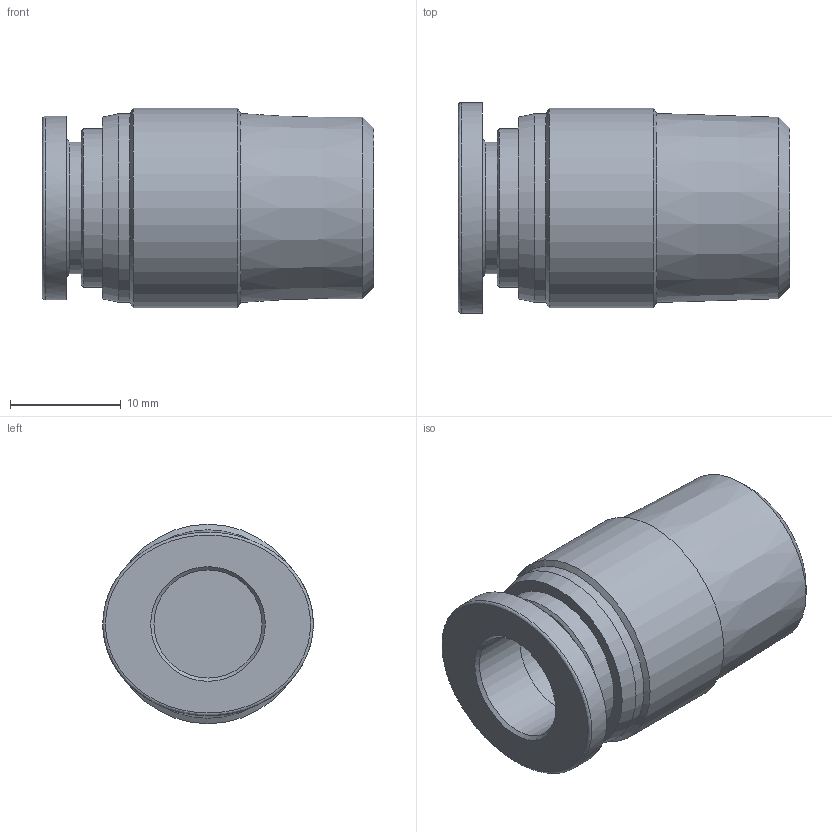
import cadquery as cq


total_length = 29.9
neck_end_x = 3.5
sleeve_length = 5.43
lead_in_end_x = 6.9
barrel_start_x = 7.9
barrel_end_x = 17.9

bore_diameter = 9.75
bore_mouth_chamfer = 0.3
seat_end_x = barrel_end_x

flange_width = 19.0
flange_height = 16.55
flange_thickness = 2.15
flange_edge_round = 0.25
neck_diameter = 11.9
neck_root_chamfer = 0.3
collar_diameter = 14.3
collar_chamfer_length = 0.2
collar_chamfer_depth = 0.3

lead_in_diameter = 16.4
shoulder_diameter = 17.0
barrel_diameter = 18.0
barrel_bevel_length = 0.3
spigot_root_diameter = 17.05
spigot_taper = 1 / 16
spigot_chamfer = 1.0


def turned(outline):
    """Revolve an (x, radius) outline about the X axis."""
    return cq.Workplane("XY").polyline(outline).close().revolve(360, (0, 0, 0), (1, 0, 0))


def make_body():
    bore_radius = bore_diameter / 2
    shoulder_radius = shoulder_diameter / 2
    barrel_radius = barrel_diameter / 2
    spigot_root_radius = spigot_root_diameter / 2
    cone_end_x = total_length - spigot_chamfer
    spigot_tip_radius = spigot_root_radius - (cone_end_x - barrel_end_x) * spigot_taper / 2
    return turned([
        (sleeve_length, bore_radius),
        (sleeve_length, lead_in_diameter / 2),
        (lead_in_end_x, shoulder_radius),
        (barrel_start_x, shoulder_radius),
        (barrel_start_x + barrel_bevel_length, barrel_radius),
        (barrel_end_x - barrel_bevel_length, barrel_radius),
        (barrel_end_x, spigot_root_radius),
        (cone_end_x, spigot_tip_radius),
        (total_length, spigot_tip_radius - spigot_chamfer),
        (total_length, 0),
        (seat_end_x, 0),
        (seat_end_x, bore_radius),
    ])


def make_flange():
    return (
        cq.Workplane("YZ")
        .ellipse(flange_width / 2, flange_height / 2)
        .extrude(flange_thickness)
        .faces("<X").edges().fillet(flange_edge_round)
    )


def make_neck_and_collar():
    neck_radius = neck_diameter / 2
    collar_radius = collar_diameter / 2
    return turned([
        (0, 0),
        (0, neck_radius),
        (flange_thickness, neck_radius + neck_root_chamfer),
        (flange_thickness + neck_root_chamfer, neck_radius),
        (neck_end_x, neck_radius),
        (neck_end_x, collar_radius - collar_chamfer_depth),
        (neck_end_x + collar_chamfer_length, collar_radius),
        (sleeve_length, collar_radius),
        (sleeve_length, 0),
    ])


def make_sleeve_bore():
    bore_radius = bore_diameter / 2
    return turned([
        (0, 0),
        (0, bore_radius + bore_mouth_chamfer),
        (bore_mouth_chamfer, bore_radius),
        (sleeve_length, bore_radius),
        (sleeve_length, 0),
    ])


def make_sleeve():
    return make_flange().union(make_neck_and_collar()).cut(make_sleeve_bore())


body = make_body()
sleeve = make_sleeve()

result = cq.Compound.makeCompound([body.val(), sleeve.solids().val()])